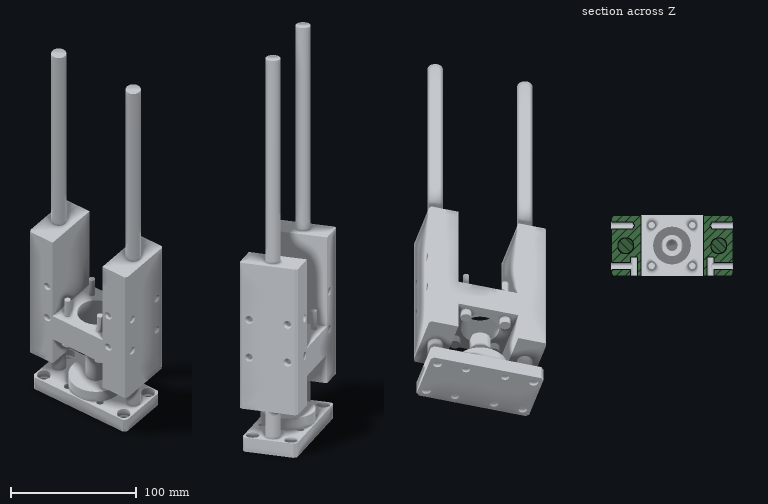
import cadquery as cq
import math


block_width = 97.0
block_depth = 49.0
block_height = 125.0
block_bottom = 37.5
arm_gap = 49.5
bridge_bottom = 62.5
bridge_thickness = 24.0
bridge_bore_diameter = 30.0
block_chamfer_x = 1.5
block_chamfer_y = 2.5

hole_pitch = 32.5
half_pitch = hole_pitch / 2

mount_hole_diameter = 5.0
mount_mouth_diameter = 6.7
mount_center_height = 98.0
mount_front_x = 30.3
mount_front_depth = 15.0
mount_side_depth = 17.0
drill_tip_angle = 118

screw_diameter = 5.0
screw_head_diameter = 8.8
screw_head_height = 6.0
screw_top = 102.0

total_height = 337.0
rod_diameter = 12.0
rod_end_diameter = 11.0
rod_x = 37.0

plate_width = 93.0
plate_depth = 46.0
plate_thickness = 12.0
plate_chamfer = 2.5
corner_hole_x = 39.8
corner_hole_diameter = 6.7
counterbore_diameter = 11.0
counterbore_depth = 6.0
flange_hole_diameter = 6.0

flange_diameter = 44.0
flange_thickness = 10.0
stud_diameter = 17.0
stud_height = 29.0
stud_flat_width = 15.0
stud_flat_height = 9.8
stud_bore_diameter = 8.8
stud_mouth_diameter = 10.0
stud_bore_depth = 20.2

bridge_top = bridge_bottom + bridge_thickness
flange_top = plate_thickness + flange_thickness
stud_top = flange_top + stud_height

square_pattern = [(x, y) for x in (-half_pitch, half_pitch) for y in (-half_pitch, half_pitch)]
rod_points = [(-rod_x, 0), (rod_x, 0)]
mount_heights = (mount_center_height - half_pitch, mount_center_height + half_pitch)


def box_on(width, depth, height, bottom):
    """Box centred on the Z axis, standing on the given height."""
    base = cq.Workplane("XY").workplane(offset=bottom)
    return base.box(width, depth, height, centered=(True, True, False))


def upright_cylinders(points, diameter, bottom, top):
    """Vertical cylinders at the given XY points."""
    base = cq.Workplane("XY").workplane(offset=bottom)
    return base.pushPoints(points).circle(diameter / 2).extrude(top - bottom)


def prism_with_chamfered_corners(width, depth, height, bottom, cut_x, cut_y):
    """Upright block whose four vertical edges are chamfered by cut_x and cut_y."""
    x = width / 2
    y = depth / 2
    outline = [
        (-x + cut_x, -y), (x - cut_x, -y), (x, -y + cut_y), (x, y - cut_y),
        (x - cut_x, y), (-x + cut_x, y), (-x, y - cut_y), (-x, -y + cut_y),
    ]
    return cq.Workplane("XY").workplane(offset=bottom).polyline(outline).close().extrude(height)


def hole_cutter(mouth_center, direction, diameter, mouth_diameter, depth, tip_length=0.0):
    """Blind hole with a 45-degree countersunk mouth and, if it has a tip length, a conical end."""
    radius = diameter / 2
    mouth_radius = mouth_diameter / 2
    mouth_depth = mouth_radius - radius
    profile = [(0, 0), (mouth_radius, 0), (radius, mouth_depth), (radius, depth), (0, depth + tip_length)]
    cutter = cq.Workplane("XZ").polyline(profile).close().revolve(360, (0, 0), (0, 1)).val()
    plane = cq.Plane(origin=mouth_center, normal=direction)
    return cutter.moved(cq.Location(plane))


def drill_tip(diameter):
    """Length of the cone that a drill leaves at the end of a hole."""
    return diameter / 2 / math.tan(math.radians(drill_tip_angle / 2))


def make_guide_block():
    block = prism_with_chamfered_corners(
        block_width, block_depth, block_height, block_bottom, block_chamfer_x, block_chamfer_y
    )

    block_top = block_bottom + block_height
    block = block.cut(box_on(arm_gap, block_depth, bridge_bottom - block_bottom, block_bottom))
    block = block.cut(box_on(arm_gap, block_depth, block_top - bridge_top, bridge_top))

    block = block.cut(upright_cylinders([(0, 0)], bridge_bore_diameter, bridge_bottom, bridge_top))
    block = block.cut(upright_cylinders(rod_points, rod_diameter, block_bottom, block_top))

    for height in mount_heights:
        for side in (-1, 1):
            front_mouth = (side * mount_front_x, -block_depth / 2, height)
            block = block.cut(cq.Workplane(hole_cutter(
                front_mouth, (0, 1, 0), mount_hole_diameter, mount_mouth_diameter, mount_front_depth
            )))
            for y in (-half_pitch, half_pitch):
                side_mouth = (side * block_width / 2, y, height)
                block = block.cut(cq.Workplane(hole_cutter(
                    side_mouth, (-side, 0, 0), mount_hole_diameter, mount_mouth_diameter,
                    mount_side_depth, drill_tip(mount_hole_diameter)
                )))

    head_bottom = bridge_bottom - screw_head_height
    block = block.union(upright_cylinders(square_pattern, screw_head_diameter, head_bottom, bridge_bottom))
    return block.union(upright_cylinders(square_pattern, screw_diameter, bridge_bottom, screw_top))


def make_stud():
    stud = upright_cylinders([(0, 0)], stud_diameter, flange_top, stud_top)

    flat_bottom = stud_top - stud_flat_height
    removed = box_on(stud_diameter, stud_diameter, stud_flat_height, flat_bottom)
    kept = box_on(stud_flat_width, stud_diameter, stud_flat_height, flat_bottom)
    stud = stud.cut(removed.cut(kept))

    bore = hole_cutter(
        (0, 0, stud_top), (0, 0, -1), stud_bore_diameter, stud_mouth_diameter,
        stud_bore_depth, drill_tip(stud_bore_diameter)
    )
    return stud.cut(cq.Workplane(bore))


def make_carriage():
    carriage = prism_with_chamfered_corners(
        plate_width, plate_depth, plate_thickness, 0, plate_chamfer, plate_chamfer
    )

    corner_points = [(x, y) for x in (-corner_hole_x, corner_hole_x) for y in (-half_pitch, half_pitch)]
    carriage = carriage.cut(upright_cylinders(corner_points, corner_hole_diameter, 0, plate_thickness))
    counterbore_floor = plate_thickness - counterbore_depth
    counterbores = upright_cylinders(
        corner_points, counterbore_diameter, counterbore_floor, plate_thickness
    )
    carriage = carriage.cut(counterbores)
    carriage = carriage.cut(upright_cylinders(square_pattern, flange_hole_diameter, 0, plate_thickness))

    rod_chamfer = (rod_diameter - rod_end_diameter) / 2
    rods = upright_cylinders(rod_points, rod_diameter, plate_thickness, total_height)
    carriage = carriage.union(rods.faces(">Z").chamfer(rod_chamfer))

    carriage = carriage.union(upright_cylinders([(0, 0)], flange_diameter, plate_thickness, flange_top))
    return carriage.union(make_stud())


guide_block = make_guide_block()
carriage = make_carriage()

result = cq.Compound.makeCompound([guide_block.solids().val(), carriage.solids().val()])